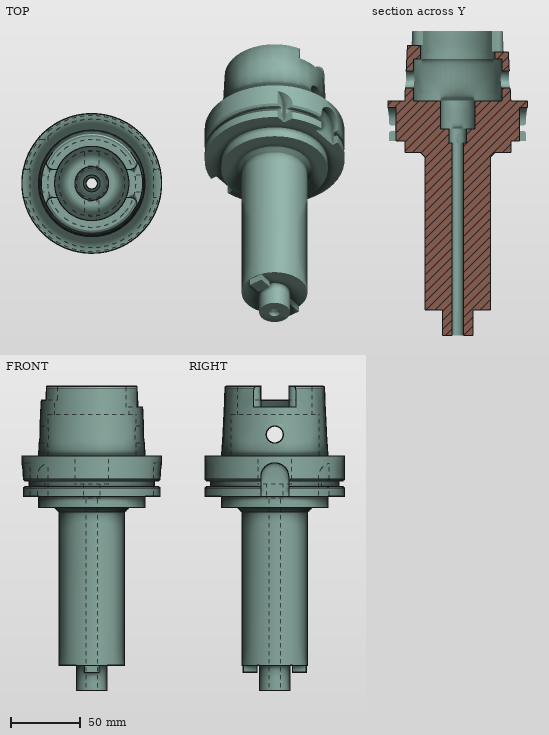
import cadquery as cq
import math

TOTAL_HEIGHT = 218.0
SHANK_HEIGHT = 50.0
FLANGE_HEIGHT = 29.0
COLLAR_HEIGHT = 8.0
PILOT_HEIGHT = 18.0

FLANGE_BOTTOM = -FLANGE_HEIGHT
COLLAR_BOTTOM = FLANGE_BOTTOM - COLLAR_HEIGHT
PART_BOTTOM = SHANK_HEIGHT - TOTAL_HEIGHT
ARBOR_BOTTOM = PART_BOTTOM + PILOT_HEIGHT

SHANK_BASE_DIAMETER = 76.3
SHANK_TAPER = 0.1
SHANK_TOP_DIAMETER = SHANK_BASE_DIAMETER - SHANK_TAPER * SHANK_HEIGHT
SHANK_TOP_ROUNDING = 1.5
FLANGE_DIAMETER = 100.0
COLLAR_DIAMETER = 76.3
ARBOR_DIAMETER = 47.0
ARBOR_NECK_CHAMFER = 3.0
PILOT_DIAMETER = 22.0

GROOVE_CENTRE_DEPTH = 19.8
GROOVE_OPENING = 6.5
GROOVE_LIP_BEVEL = 1.3
GROOVE_BASE_DIAMETER = 92.0

SLOT_WIDTH = 20.0
SLOT_RADIUS = SLOT_WIDTH / 2
SLOT_APEX_DEPTH = 5.0
KEYWAY_FLOOR = 44.3
NOTCH_FLOOR = 31.5

DRIVE_SLOT_WIDTH = 20.0
DRIVE_SLOT_DEPTH_LEFT = 10.0
DRIVE_SLOT_DEPTH_RIGHT = 14.8
DRIVE_SLOT_ROUNDING = 5.0
DRIVE_SLOT_FLARE_START = 27.5

BORE_DIAMETER = 53.2
BORE_LIP_HEIGHT = 20.3
UNDERCUT_DIAMETER = 63.0
COOLANT_SEAT_DIAMETER = 24.2
COOLANT_SEAT_DEPTH = 20.0
STEP_HOLE_DIAMETER = 12.0
STEP_HOLE_DEPTH = 10.0
THROUGH_HOLE_DIAMETER = 8.0

CROSS_HOLE_DIAMETER = 12.0
CROSS_HOLE_HEIGHT = 15.3

KEY_WIDTH = 10.0
KEY_HEIGHT = 5.0
KEY_OUTER_REACH = 22.7


def cylinder(diameter, top, bottom):
    """Cylinder on the Z axis between two heights."""
    return cq.Workplane("XY").workplane(offset=bottom).circle(diameter / 2).extrude(top - bottom)


def turned_body():
    """Outer shape of shank, flange, collar, arbor and pilot, turned about Z."""
    shank_top = SHANK_TOP_DIAMETER / 2
    shank_base = SHANK_BASE_DIAMETER / 2
    flange = FLANGE_DIAMETER / 2
    groove_base = GROOVE_BASE_DIAMETER / 2
    collar = COLLAR_DIAMETER / 2
    arbor = ARBOR_DIAMETER / 2
    pilot = PILOT_DIAMETER / 2
    rounding = SHANK_TOP_ROUNDING
    diagonal = rounding * math.sqrt(0.5)
    rounding_end = shank_top + SHANK_TAPER / 2 * rounding
    groove = -GROOVE_CENTRE_DEPTH
    half_opening = GROOVE_OPENING / 2
    half_base = half_opening - GROOVE_LIP_BEVEL
    return (
        cq.Workplane("XZ")
        .moveTo(0, SHANK_HEIGHT)
        .lineTo(shank_top - rounding, SHANK_HEIGHT)
        .threePointArc(
            (shank_top - rounding + diagonal, SHANK_HEIGHT - rounding + diagonal),
            (rounding_end, SHANK_HEIGHT - rounding),
        )
        .lineTo(shank_base, 0)
        .lineTo(flange, 0)
        .lineTo(flange, groove + half_opening)
        .lineTo(flange - GROOVE_LIP_BEVEL, groove + half_base)
        .lineTo(groove_base, groove + half_base)
        .lineTo(groove_base, groove - half_base)
        .lineTo(flange - GROOVE_LIP_BEVEL, groove - half_base)
        .lineTo(flange, groove - half_opening)
        .lineTo(flange, FLANGE_BOTTOM)
        .lineTo(collar, FLANGE_BOTTOM)
        .lineTo(collar, COLLAR_BOTTOM)
        .lineTo(arbor + ARBOR_NECK_CHAMFER, COLLAR_BOTTOM)
        .lineTo(arbor, COLLAR_BOTTOM - ARBOR_NECK_CHAMFER)
        .lineTo(arbor, ARBOR_BOTTOM)
        .lineTo(pilot, ARBOR_BOTTOM)
        .lineTo(pilot, PART_BOTTOM)
        .lineTo(0, PART_BOTTOM)
        .close()
        .revolve(360, (0, 0, 0), (0, 1, 0))
    )


def axial_bore():
    """Clamping bore with its undercut, then the stepped hole to the lower end."""
    lip_bottom = SHANK_HEIGHT - BORE_LIP_HEIGHT
    seat_bottom = -COOLANT_SEAT_DEPTH
    step_bottom = seat_bottom - STEP_HOLE_DEPTH
    return (
        cylinder(BORE_DIAMETER, SHANK_HEIGHT, lip_bottom)
        .union(cylinder(UNDERCUT_DIAMETER, lip_bottom, 0))
        .union(cylinder(COOLANT_SEAT_DIAMETER, 0, seat_bottom))
        .union(cylinder(STEP_HOLE_DIAMETER, seat_bottom, step_bottom))
        .union(cylinder(THROUGH_HOLE_DIAMETER, step_bottom, PART_BOTTOM))
    )


def drive_slot(side, depth):
    """Slot from the axis out through the rim toward side * X, flaring to round its outer corners."""
    half = DRIVE_SLOT_WIDTH / 2
    rounding = DRIVE_SLOT_ROUNDING
    diagonal = rounding * math.sqrt(0.5)
    start = DRIVE_SLOT_FLARE_START
    outside = FLANGE_DIAMETER / 2
    flared = half + rounding
    return (
        cq.Workplane("XY")
        .workplane(offset=SHANK_HEIGHT - depth)
        .moveTo(0, -half)
        .lineTo(side * start, -half)
        .threePointArc((side * (start + diagonal), diagonal - flared), (side * (start + rounding), -flared))
        .lineTo(side * outside, -flared)
        .lineTo(side * outside, flared)
        .lineTo(side * (start + rounding), flared)
        .threePointArc((side * (start + diagonal), flared - diagonal), (side * start, half))
        .lineTo(0, half)
        .close()
        .extrude(depth)
    )


def arched_slot(side, floor, centre_y):
    """Flange slot with a round top, open below, cut toward side * X from a flat floor."""
    arch_centre = -SLOT_APEX_DEPTH - SLOT_RADIUS
    return (
        cq.Workplane("YZ")
        .workplane(offset=side * floor)
        .moveTo(centre_y - SLOT_RADIUS, FLANGE_BOTTOM)
        .lineTo(centre_y - SLOT_RADIUS, arch_centre)
        .threePointArc((centre_y, -SLOT_APEX_DEPTH), (centre_y + SLOT_RADIUS, arch_centre))
        .lineTo(centre_y + SLOT_RADIUS, FLANGE_BOTTOM)
        .close()
        .extrude(side * FLANGE_DIAMETER / 2)
    )


def cross_hole():
    """Round hole along X through both walls of the shank."""
    return (
        cq.Workplane("YZ")
        .center(0, CROSS_HOLE_HEIGHT)
        .circle(CROSS_HOLE_DIAMETER / 2)
        .extrude(SHANK_BASE_DIAMETER / 2, both=True)
    )


def drive_key(side):
    """Square key under the arbor on the side * Y side."""
    return (
        cq.Workplane("XY")
        .workplane(offset=ARBOR_BOTTOM - KEY_HEIGHT)
        .center(0, side * (KEY_OUTER_REACH - KEY_WIDTH / 2))
        .rect(KEY_WIDTH, KEY_WIDTH)
        .extrude(KEY_HEIGHT)
    )


result = turned_body().cut(axial_bore()).cut(cross_hole())
result = result.cut(drive_slot(-1, DRIVE_SLOT_DEPTH_LEFT))
result = result.cut(drive_slot(1, DRIVE_SLOT_DEPTH_RIGHT))
for side in (-1, 1):
    result = result.cut(arched_slot(side, KEYWAY_FLOOR, 0))
    result = result.union(drive_key(side))
result = result.cut(arched_slot(-1, NOTCH_FLOOR, NOTCH_FLOOR + SLOT_RADIUS))